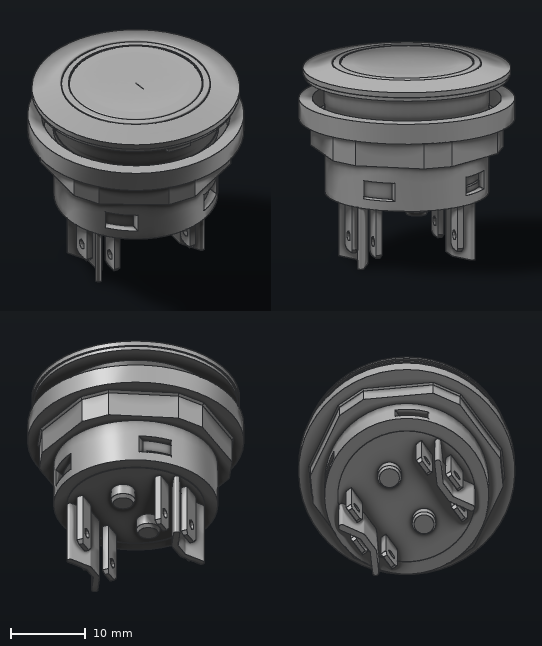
import cadquery as cq
import math


face_z = 2.03
bezel_edge_z = 1.25
bezel_step_z = 0.52
bezel_d = 27.9
bezel_step_d = 27.4
bezel_rim_d = 20.5
bezel_bore_d = 20.05
ring_d = 19.9
ring_face_d = 19.52
ring_bore_d = 18.05
button_d = 17.8
button_face_d = 17.45
dish_d = 14.5
dish_depth = 0.15
groove_depth = 0.3

neck_d = 22.2
relief_top_z = -3.57
relief_taper_height = 0.35
relief_bottom_z = -4.52
barrel_d = 22.0
barrel_bottom_z = -15.92
base_pad_d = 18.5
bottom_z = -16.05
key_radius = 12.15
key_width = 3.48
key_top_z = -0.2
key_height = 1.48

flange_d = 29.0
flange_top_z = -3.0
flange_bottom_z = -5.75
flange_bore_d = 25.35
flange_bore_floor_d = 24.6
flange_bore_depth = 2.32
hex_bottom_z = -9.6
hex_across_flats = 24.13
hex_across_cut_corners = 25.58
flare_height = 0.35
flare_width = 0.23

window_top_z = -12.05
window_height = 2.52
window_floor_d = 19.75
window_near_y = 5.05
window_far_y = 8.5
window_far_floor_y = 8.3
window_far_floor_x = 5.4
latch_near_angle = 34.0
latch_top_z = -13.63
latch_rise = 0.15
latch_slope_height = 0.2

middle_blade_width = 2.85
side_blade_width = 2.6
blade_thickness = 0.87
blade_tip_inset = 0.4
blade_tip_thickness = 0.58
blade_tip_height = 0.52
blade_end_z = -23.52
blade_hole_d = 1.3
blade_hole_z = -21.37
side_blade_x = 4.03
side_blade_y = 5.77
middle_blade_y = 7.83
shield_end_z = -25.03
shield_thickness = 0.85
shield_inner_y = 5.97
shield_bend_x = 1.28
shield_tip_x = 3.92
shield_tip_y = 7.9
shield_bend_radius = 0.44
pin_d = 3.2
pin_x = 4.0
pin_end_z = -18.05
pin_chamfer_height = 0.52
pin_chamfer_width = 0.25


def cylinder(diameter, bottom, top):
    return cq.Workplane("XY").workplane(offset=bottom).circle(diameter / 2).extrude(top - bottom)


def make_head_and_barrel():
    """Bezel, grooved face, neck, barrel and base pad turned as one profile, with a relief on the neck."""
    groove_z = face_z - groove_depth
    bezel_round = (bezel_rim_d - bezel_bore_d) / 2
    ring_round = (ring_d - ring_face_d) / 2
    button_round = (button_d - button_face_d) / 2
    dish_r = dish_d / 2
    dish_mid = (dish_r / 2, face_z - 0.75 * dish_depth)
    return (
        cq.Workplane("XZ")
        .moveTo(0, bottom_z)
        .lineTo(0, face_z - dish_depth)
        .threePointArc(dish_mid, (dish_r, face_z))
        .lineTo(button_face_d / 2, face_z)
        .tangentArcPoint((button_d / 2, face_z - button_round), relative=False)
        .lineTo(button_d / 2, groove_z)
        .lineTo(ring_bore_d / 2, groove_z)
        .lineTo(ring_bore_d / 2, face_z)
        .lineTo(ring_face_d / 2, face_z)
        .tangentArcPoint((ring_d / 2, face_z - ring_round), relative=False)
        .lineTo(ring_d / 2, groove_z)
        .lineTo(bezel_bore_d / 2, groove_z)
        .lineTo(bezel_bore_d / 2, face_z - bezel_round)
        .tangentArcPoint((bezel_rim_d / 2, face_z), relative=False)
        .lineTo(bezel_d / 2, bezel_edge_z)
        .lineTo(bezel_d / 2, bezel_step_z)
        .lineTo(bezel_step_d / 2, bezel_step_z)
        .lineTo(bezel_step_d / 2, 0)
        .lineTo(neck_d / 2, 0)
        .lineTo(neck_d / 2, relief_top_z)
        .lineTo(barrel_d / 2, relief_top_z - relief_taper_height)
        .lineTo(barrel_d / 2, relief_bottom_z)
        .lineTo(neck_d / 2, relief_bottom_z)
        .lineTo(neck_d / 2, flange_bottom_z)
        .lineTo(barrel_d / 2, flange_bottom_z)
        .lineTo(barrel_d / 2, barrel_bottom_z)
        .lineTo(base_pad_d / 2, barrel_bottom_z)
        .lineTo(base_pad_d / 2, bottom_z)
        .close()
        .revolve(360, (0, 0), (0, 1))
    )


def make_key():
    """Key on the +X side of the neck, with its end concentric to the neck."""
    bottom = key_top_z - key_height
    block = (
        cq.Workplane("XY")
        .workplane(offset=bottom)
        .center(key_radius / 2, 0)
        .rect(key_radius, key_width)
        .extrude(key_height)
    )
    return block.intersect(cylinder(2 * key_radius, bottom, key_top_z))


def hexagon(across_flats, flat_angle):
    """Corner points of a hexagon that has a flat facing flat_angle."""
    radius = across_flats / 2 / math.cos(math.pi / 6)
    angles = [math.radians(flat_angle + 30 + 60 * i) for i in range(6)]
    return [(radius * math.cos(a), radius * math.sin(a)) for a in angles]


def hex_prism(bottom, top, taper=0):
    """Hexagonal prism with cut corners; a negative taper widens it upward."""
    prisms = []
    for across, angle in ((hex_across_flats, 90), (hex_across_cut_corners, 0)):
        points = hexagon(across, angle)
        plane = cq.Workplane("XY").workplane(offset=bottom)
        prisms.append(plane.polyline(points).close().extrude(top - bottom, taper=taper))
    return prisms[0].intersect(prisms[1])


def make_nut():
    """Round flange with a tapered counterbore and a hexagon that flares into it."""
    flare_angle = math.degrees(math.atan2(flare_width, flare_height))
    flare_bottom = flange_bottom_z - flare_height
    counterbore = (
        cq.Workplane("XY")
        .workplane(offset=flange_top_z)
        .circle(flange_bore_d / 2)
        .workplane(offset=-flange_bore_depth)
        .circle(flange_bore_floor_d / 2)
        .loft(ruled=True)
    )
    return (
        cylinder(flange_d, flange_bottom_z, flange_top_z)
        .cut(counterbore)
        .union(hex_prism(hex_bottom_z, flange_bottom_z))
        .union(hex_prism(flare_bottom, flange_bottom_z, taper=-flare_angle))
    )


def make_windows():
    """Four window cutters that stop on a cylindrical floor."""
    bottom = window_top_z - window_height
    outside_x = barrel_d / 2
    barrel_corner_x = math.sqrt((barrel_d / 2) ** 2 - window_far_y ** 2)
    window = (
        cq.Workplane("XY")
        .workplane(offset=bottom)
        .polyline([
            (window_far_floor_x, window_near_y),
            (outside_x, window_near_y),
            (outside_x, window_far_y),
            (barrel_corner_x, window_far_y),
            (window_far_floor_x, window_far_floor_y),
        ])
        .close()
        .extrude(window_height)
        .cut(cylinder(window_floor_d, bottom, window_top_z))
    )
    pair = window.union(window.mirror("XZ"))
    return pair.union(pair.mirror("YZ"))


def make_latch():
    """Latch with a sloping top on the floor of the -X -Y window."""
    bottom = window_top_z - window_height
    floor_r = window_floor_d / 2
    near_x = barrel_d / 2 * math.cos(math.radians(latch_near_angle))
    near_y = barrel_d / 2 * math.sin(math.radians(latch_near_angle))
    band = (
        cq.Workplane("XZ")
        .moveTo(floor_r - latch_rise, bottom)
        .lineTo(floor_r + latch_rise, bottom)
        .lineTo(floor_r + latch_rise, latch_top_z - latch_slope_height)
        .lineTo(floor_r, latch_top_z)
        .lineTo(floor_r - latch_rise, latch_top_z)
        .close()
        .revolve(360, (0, 0), (0, 1))
    )
    sector = (
        cq.Workplane("XY")
        .workplane(offset=bottom)
        .lineTo(-near_x, -near_y)
        .lineTo(-near_x, -window_far_floor_y)
        .lineTo(0, -window_far_floor_y)
        .close()
        .extrude(window_height)
    )
    return band.intersect(sector)


def make_blade(x, y, width):
    """Flat terminal blade with a tapered tip and a cross hole."""
    tip_start_z = blade_end_z + blade_tip_height
    shank = (
        cq.Workplane("XY")
        .workplane(offset=tip_start_z)
        .center(x, y)
        .rect(width, blade_thickness)
        .extrude(bottom_z - tip_start_z)
    )
    tip = (
        cq.Workplane("XY")
        .workplane(offset=blade_end_z)
        .center(x, y)
        .rect(width - 2 * blade_tip_inset, blade_tip_thickness)
        .workplane(offset=blade_tip_height)
        .rect(width, blade_thickness)
        .loft(ruled=True)
    )
    hole = (
        cq.Workplane("XZ", origin=(x, y, blade_hole_z))
        .circle(blade_hole_d / 2)
        .extrude(blade_thickness, both=True)
    )
    return shank.union(tip).cut(hole)


def make_shield():
    """Bent wall between the blades, its two wings running outward to round tips."""
    half = shield_thickness / 2
    wing_angle = math.atan2(shield_tip_y - shield_inner_y - half, shield_tip_x - shield_bend_x)
    along = (math.cos(wing_angle), math.sin(wing_angle))
    outer_bend_x = shield_bend_x - half * math.tan(wing_angle / 2)
    inner_bend_x = shield_bend_x + half * math.tan(wing_angle / 2)
    outer_y = shield_inner_y + shield_thickness
    outer_tip = (shield_tip_x - half * along[1], shield_tip_y + half * along[0])
    inner_tip = (shield_tip_x + half * along[1], shield_tip_y - half * along[0])
    tip_end = (shield_tip_x + half * along[0], shield_tip_y + half * along[1])
    wall = (
        cq.Workplane("XY")
        .workplane(offset=shield_end_z)
        .moveTo(-outer_bend_x, outer_y)
        .lineTo(outer_bend_x, outer_y)
        .lineTo(*outer_tip)
        .threePointArc(tip_end, inner_tip)
        .lineTo(inner_bend_x, shield_inner_y)
        .lineTo(-inner_bend_x, shield_inner_y)
        .lineTo(-inner_tip[0], inner_tip[1])
        .threePointArc((-tip_end[0], tip_end[1]), (-outer_tip[0], outer_tip[1]))
        .close()
        .extrude(bottom_z - shield_end_z)
    )
    bend_edges = cq.selectors.BoxSelector(
        (-inner_bend_x - half, 0, shield_end_z),
        (inner_bend_x + half, flange_d, bottom_z),
    )
    return wall.edges("|Z").edges(bend_edges).fillet(shield_bend_radius)


def make_terminals():
    """Three blades and a shield on the +Y side, mirrored to the -Y side."""
    group = make_shield().union(make_blade(0, middle_blade_y, middle_blade_width))
    for x in (-side_blade_x, side_blade_x):
        group = group.union(make_blade(x, side_blade_y, side_blade_width))
    return group.union(group.mirror("XZ"))


def make_pins():
    """Two locating pins with chamfered ends."""
    return (
        cq.Workplane("XY")
        .workplane(offset=pin_end_z)
        .pushPoints([(-pin_x, 0), (pin_x, 0)])
        .circle(pin_d / 2)
        .extrude(bottom_z - pin_end_z)
        .faces("<Z")
        .chamfer(pin_chamfer_height, pin_chamfer_width)
    )


result = (
    make_head_and_barrel()
    .union(make_key())
    .union(make_nut())
    .cut(make_windows())
    .union(make_latch())
    .union(make_terminals())
    .union(make_pins())
)